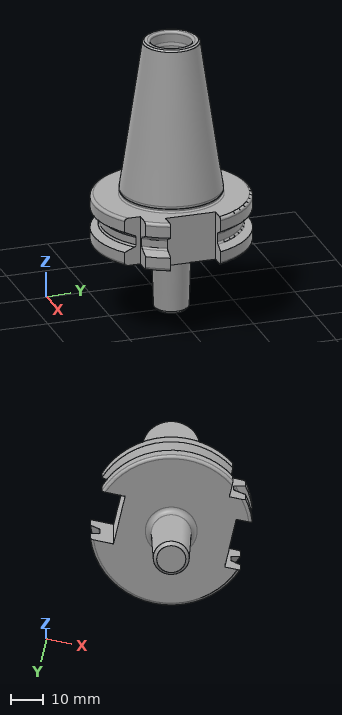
import cadquery as cq
import math

total_height = 89.3
taper_length = 47.8
gauge_z = total_height - taper_length
flange_top = 38.3
flange_bottom = 22.5
groove_z = 30.4

gauge_radius = 15.9
taper_ratio = 7 / 24
taper_top_radius = gauge_radius - taper_length * taper_ratio / 2
taper_chamfer = 0.5
collar_bottom = 39.65
collar_chamfer = 0.3
taper_bottom = 40.4
collar_radius = gauge_radius + (gauge_z - taper_bottom) * taper_ratio / 2
neck_radius = 15.7
neck_fillet = 0.5

flange_radius = 25.0
flange_fillet = 1.0
groove_radius = 22.15
groove_floor_half = 1.7
groove_fillet = 0.8
groove_half_angle = 30
groove_rim_half = groove_floor_half + (flange_radius - groove_radius) * math.tan(
    math.radians(groove_half_angle)
)

stub_tip_radius = 5.5
stub_base_radius = 6.2
stub_chamfer = 1.1
stub_fillet = 1.8

slot_width = 16.2
left_slot_x = -16.3
right_slot_x = 18.7
notch_x = 14.9
notch_y = -15.0

mouth_radius = 7.3
mouth_fillet = 0.8
bore_radius = mouth_radius - mouth_fillet
bore_depth = 3.6
pilot_radius = 6.25
pilot_top_depth = 4.6
pilot_depth = 5.5
seat_depth = 7.2
hole_radius = 5.2
hole_depth = 24.1
hole_cone_angle = 118


def revolve_about_z(profile):
    return profile.close().revolve(360, (0, 0, 0), (0, 1, 0))


def make_body():
    flank_angle = math.radians(groove_half_angle)
    corner_angle = math.pi / 2 - flank_angle
    tangent_length = groove_fillet * math.tan(corner_angle / 2)
    groove_flat_half = groove_floor_half - tangent_length
    fillet_rise = tangent_length * math.cos(flank_angle)
    fillet_run = tangent_length * math.sin(flank_angle)
    profile = (
        cq.Workplane("XZ")
        .lineTo(stub_tip_radius - stub_chamfer, 0)
        .lineTo(stub_tip_radius, stub_chamfer)
        .lineTo(stub_base_radius, flange_bottom - stub_fillet)
        .radiusArc((stub_base_radius + stub_fillet, flange_bottom), stub_fillet)
        .lineTo(flange_radius - flange_fillet, flange_bottom)
        .radiusArc((flange_radius, flange_bottom + flange_fillet), -flange_fillet)
        .lineTo(flange_radius, groove_z - groove_rim_half)
        .lineTo(groove_radius + fillet_rise, groove_z - groove_floor_half - fillet_run)
        .radiusArc((groove_radius, groove_z - groove_flat_half), groove_fillet)
        .lineTo(groove_radius, groove_z + groove_flat_half)
        .radiusArc((groove_radius + fillet_rise, groove_z + groove_floor_half + fillet_run), groove_fillet)
        .lineTo(flange_radius, groove_z + groove_rim_half)
        .lineTo(flange_radius, flange_top - flange_fillet)
        .radiusArc((flange_radius - flange_fillet, flange_top), -flange_fillet)
        .lineTo(neck_radius + neck_fillet, flange_top)
        .radiusArc((neck_radius, flange_top + neck_fillet), neck_fillet)
        .lineTo(neck_radius, collar_bottom - collar_chamfer)
        .lineTo(collar_radius, collar_bottom)
        .lineTo(collar_radius, taper_bottom)
        .lineTo(taper_top_radius, total_height - taper_chamfer)
        .lineTo(taper_top_radius - taper_chamfer, total_height)
        .lineTo(0, total_height)
    )
    return revolve_about_z(profile)


def make_bore():
    cone_depth = hole_radius / math.tan(math.radians(hole_cone_angle / 2))
    profile = (
        cq.Workplane("XZ")
        .moveTo(0, total_height)
        .lineTo(mouth_radius, total_height)
        .radiusArc((bore_radius, total_height - mouth_fillet), -mouth_fillet)
        .lineTo(bore_radius, total_height - bore_depth)
        .lineTo(pilot_radius, total_height - pilot_top_depth)
        .lineTo(pilot_radius, total_height - pilot_depth)
        .lineTo(hole_radius, total_height - seat_depth)
        .lineTo(hole_radius, total_height - hole_depth)
        .lineTo(0, total_height - hole_depth - cone_depth)
    )
    return revolve_about_z(profile)


def flange_cutter(x_start, x_end, y_start, y_end):
    """Box through the full flange thickness."""
    return cq.Workplane("XY").box(
        x_end - x_start, y_end - y_start, flange_top - flange_bottom, centered=False
    ).translate((x_start, y_start, flange_bottom))


half_slot = slot_width / 2
left_slot = flange_cutter(-flange_radius, left_slot_x, -half_slot, half_slot)
right_slot = flange_cutter(right_slot_x, flange_radius, -half_slot, half_slot)
notch = flange_cutter(notch_x, flange_radius, -flange_radius, notch_y)

result = make_body().cut(make_bore()).cut(left_slot).cut(right_slot).cut(notch)